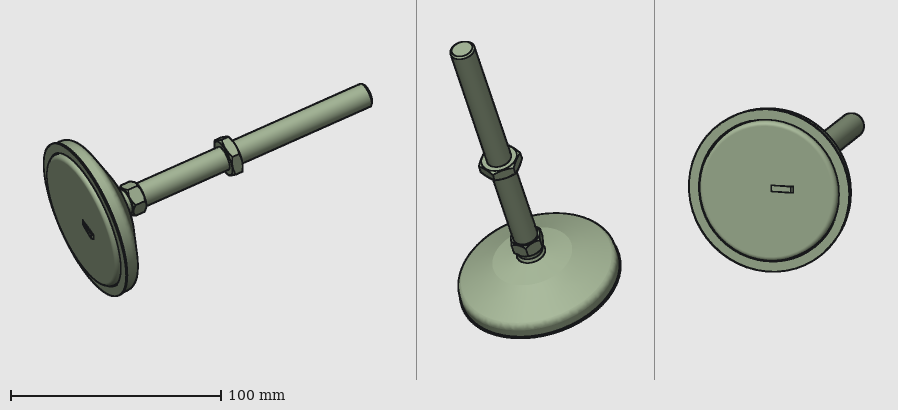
import cadquery as cq
import math


rod_diameter = 12.0
rod_tip_diameter = 10.1
rod_end_y = 157.0
ball_diameter = 14.8
neck_end_y = 22.1
rod_radius = rod_diameter / 2
ball_radius = ball_diameter / 2
rod_tip_chamfer = (rod_diameter - rod_tip_diameter) / 2
ball_center_y = neck_end_y - math.sqrt(ball_radius**2 - rod_radius**2)

wrench_flats = 14.0
wrench_face_diameter = 14.0
wrench_bottom_y = 25.0
wrench_height = 7.1
wrench_chamfer_angle = 45

nut_flats = 18.0
nut_face_diameter = 17.4
nut_bottom_y = 78.2
nut_height = 5.7
nut_chamfer_angle = 30
nut_turn = -18.2

base_diameter = 79.0
lip_width = 0.5
lip_height = 0.8
rim_bottom_y = 2.2
shoulder_y = 9.3
break_diameter = 39.2
break_y = 18.2
base_top_diameter = 13.9
base_top_y = 20.5
shoulder_fillet = 3.5
socket_diameter = 15.0
recess_diameter = 69.0
base_radius = base_diameter / 2
rim_radius = base_radius - lip_width

pad_diameter = 68.0
pad_thickness = 4.7
pad_fillet = 2.2

tab_start_x = 1.7
tab_tip_x = 11.7
tab_end_x = 12.5
tab_height = 1.0
tab_bottom_z = 0.2
tab_width = 3.0


def turned(outline):
    """Revolve a closed (radius, y) outline about the Y axis."""
    return cq.Workplane("XY").polyline(outline).close().revolve(360, (0, 0, 0), (0, 1, 0))


def ball(diameter):
    """Sphere about the centre of the ball joint."""
    return cq.Workplane("XY").sphere(diameter / 2).translate((0, ball_center_y, 0))


def chamfered_hexagon(flats, face_diameter, height, chamfer_angle, bottom_y):
    """Hexagonal prism along Y with flats facing +X and -X and turned chamfers on both ends."""
    corner_radius = flats / math.sqrt(3)
    face_radius = face_diameter / 2
    drop = (corner_radius - face_radius) * math.tan(math.radians(chamfer_angle))
    prism = (
        cq.Workplane("XZ")
        .polygon(6, 2 * corner_radius)
        .extrude(-height)
        .rotate((0, 0, 0), (0, 1, 0), 30)
    )
    envelope = turned([
        (0, 0),
        (face_radius, 0),
        (corner_radius, drop),
        (corner_radius, height - drop),
        (face_radius, height),
        (0, height),
    ])
    return prism.intersect(envelope).translate((0, bottom_y, 0))


def make_spindle():
    """Rod with a chamfered end, a wrench hexagon and a ball at the foot."""
    rod = turned([
        (0, ball_center_y),
        (rod_radius, ball_center_y),
        (rod_radius, rod_end_y - rod_tip_chamfer),
        (rod_tip_diameter / 2, rod_end_y),
        (0, rod_end_y),
    ])
    wrench_hexagon = chamfered_hexagon(
        wrench_flats, wrench_face_diameter, wrench_height, wrench_chamfer_angle, wrench_bottom_y
    )
    return rod.union(wrench_hexagon).union(ball(ball_diameter))


def make_nut():
    """Lock nut on the rod, turned about the rod axis."""
    blank = chamfered_hexagon(nut_flats, nut_face_diameter, nut_height, nut_chamfer_angle, nut_bottom_y)
    bore = turned([
        (0, nut_bottom_y),
        (rod_radius, nut_bottom_y),
        (rod_radius, nut_bottom_y + nut_height),
        (0, nut_bottom_y + nut_height),
    ])
    return blank.cut(bore).rotate((0, 0, 0), (0, 1, 0), nut_turn)


def circle_at(radius, y):
    """Selector for the circular edge of the given radius about the Y axis at height y."""
    tolerance = 0.02
    low = (-radius - tolerance, y - tolerance, -radius - tolerance)
    high = (radius + tolerance, y + tolerance, radius + tolerance)
    return cq.selectors.BoxSelector(low, high, boundingbox=True)


def make_base():
    """Domed base with a thin lip, a recess for the pad and a socket for the ball."""
    break_radius = break_diameter / 2
    recess_radius = recess_diameter / 2
    dome = turned([
        (0, pad_thickness),
        (recess_radius, pad_thickness),
        (recess_radius, rim_bottom_y),
        (base_radius, rim_bottom_y),
        (base_radius, rim_bottom_y + lip_height),
        (rim_radius, rim_bottom_y + lip_height),
        (rim_radius, shoulder_y),
        (break_radius, break_y),
        (base_top_diameter / 2, base_top_y),
        (0, base_top_y),
    ])
    dome = dome.edges(circle_at(rim_radius, shoulder_y)).fillet(shoulder_fillet)
    return dome.cut(ball(socket_diameter))


def make_pad():
    """Round pad with a rounded tread edge."""
    pad = cq.Workplane("XZ").circle(pad_diameter / 2).extrude(-pad_thickness)
    return pad.faces("<Y").edges().fillet(pad_fillet)


def make_tab():
    """Shallow wedge standing on the tread face of the pad."""
    return (
        cq.Workplane("XY", origin=(0, 0, tab_bottom_z))
        .polyline([(tab_start_x, 0), (tab_tip_x, -tab_height), (tab_end_x, 0)])
        .close()
        .extrude(tab_width)
    )


spindle = make_spindle()
nut = make_nut()
base = make_base()
pad = make_pad()
tab = make_tab()

result = cq.Compound.makeCompound([spindle.val(), nut.val(), base.val(), pad.val(), tab.val()])